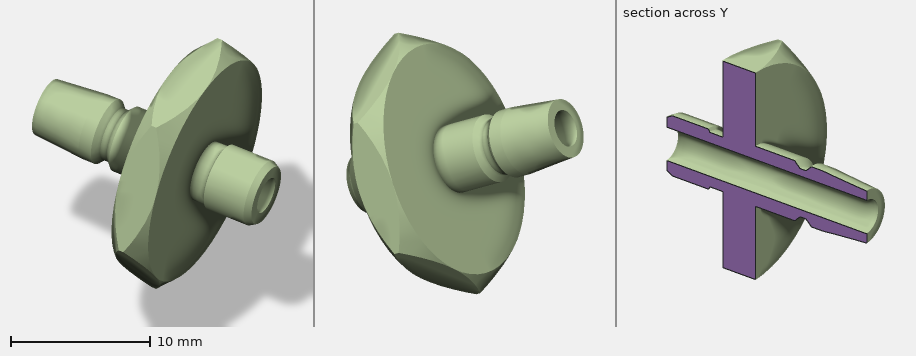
import cadquery as cq
import math

HEX_CORNERS = 19.63
HEX_FLATS = HEX_CORNERS * math.cos(math.radians(30))
HEX_START = 10.0
HEX_END = 13.0
HEX_BEVEL_ANGLE = 45.0

LENGTH = 18.0
STEM_RADIUS = 2.5
BORE_RADIUS = 1.35

TIP_RADIUS = 2.15
TAPER_LENGTH = 4.0

GROOVE_START = 5.0
GROOVE_END = 6.5
GROOVE_DEPTH = 0.5

RELIEF_RADIUS = 2.25
PLUG_START = 14.25
PLUG_BEVEL_LENGTH = 0.5
PLUG_BEVEL_SLOPE = math.tan(math.radians(30))


def make_stem():
    """Revolve the stem outline around X."""
    groove_radius = STEM_RADIUS - GROOVE_DEPTH
    shoulder_length = (STEM_RADIUS - RELIEF_RADIUS) * PLUG_BEVEL_SLOPE
    end_radius = STEM_RADIUS - PLUG_BEVEL_LENGTH * PLUG_BEVEL_SLOPE
    outline = [
        (0, 0),
        (0, TIP_RADIUS),
        (TAPER_LENGTH, STEM_RADIUS),
        (GROOVE_START, STEM_RADIUS),
        (GROOVE_START + GROOVE_DEPTH, groove_radius),
        (GROOVE_END - GROOVE_DEPTH, groove_radius),
        (GROOVE_END, STEM_RADIUS),
        (HEX_END, STEM_RADIUS),
        (HEX_END, RELIEF_RADIUS),
        (PLUG_START - shoulder_length, RELIEF_RADIUS),
        (PLUG_START, STEM_RADIUS),
        (LENGTH - PLUG_BEVEL_LENGTH, STEM_RADIUS),
        (LENGTH, end_radius),
        (LENGTH, 0),
    ]
    return revolve_around_x(outline)


def make_flange():
    """Hexagonal prism with its corners turned off conically on both faces."""
    prism = (
        cq.Workplane("YZ", origin=(HEX_START, 0, 0))
        .polygon(6, HEX_CORNERS)
        .extrude(HEX_END - HEX_START)
    )
    corner_radius = HEX_CORNERS / 2
    face_radius = HEX_FLATS / 2
    bevel_length = (corner_radius - face_radius) / math.tan(math.radians(HEX_BEVEL_ANGLE))
    envelope = revolve_around_x([
        (HEX_START, 0),
        (HEX_START, face_radius),
        (HEX_START + bevel_length, corner_radius),
        (HEX_END - bevel_length, corner_radius),
        (HEX_END, face_radius),
        (HEX_END, 0),
    ])
    return prism.intersect(envelope)


def revolve_around_x(outline):
    """Solid of revolution from (position along X, radius) points."""
    return cq.Workplane("XY").polyline(outline).close().revolve(360, (0, 0, 0), (1, 0, 0))


bore = cq.Workplane("YZ").circle(BORE_RADIUS).extrude(LENGTH)

result = make_stem().union(make_flange()).cut(bore)